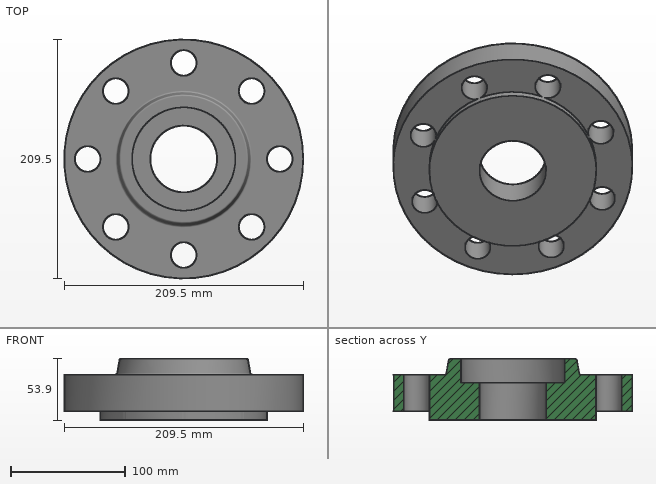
import cadquery as cq
import math

flange_diameter = 209.5
flange_thickness = 32.3

raised_face_diameter = 146.2
raised_face_height = 7.8

hub_height = 13.8
hub_taper_angle = 10.0
hub_base_radius = 58.7
hub_top_fillet = 1.5
hub_foot_fillet = 1.5

bore_diameter = 58.2
socket_diameter = 90.5
socket_depth = 21.0

bolt_hole_count = 8
bolt_hole_diameter = 22.2
bolt_circle_diameter = 168.2

flange_bottom = raised_face_height
flange_top = flange_bottom + flange_thickness
hub_top = flange_top + hub_height


def disc(diameter, bottom, top):
    return cq.Workplane("XY").workplane(offset=bottom).circle(diameter / 2).extrude(top - bottom)


def hub():
    top_radius = hub_base_radius - hub_height * math.tan(math.radians(hub_taper_angle))
    profile = [
        (0, flange_top),
        (hub_base_radius, flange_top),
        (top_radius, hub_top),
        (0, hub_top),
    ]
    return cq.Workplane("XZ").polyline(profile).close().revolve(360, (0, 0), (0, 1))


def blank():
    plate = disc(flange_diameter, flange_bottom, flange_top)
    body = plate.union(hub())
    body = body.faces(">Z").edges().fillet(hub_top_fillet)
    foot_edge = cq.selectors.RadiusNthSelector(-2)
    body = body.edges("%CIRCLE").edges(foot_edge).fillet(hub_foot_fillet)
    return body.union(disc(raised_face_diameter, 0, flange_bottom))


def bolt_holes():
    return (
        cq.Workplane("XY")
        .polarArray(bolt_circle_diameter / 2, 0, 360, bolt_hole_count)
        .circle(bolt_hole_diameter / 2)
        .extrude(hub_top)
    )


result = blank()
result = result.cut(disc(bore_diameter, 0, hub_top))
result = result.cut(disc(socket_diameter, hub_top - socket_depth, hub_top))
result = result.cut(bolt_holes())